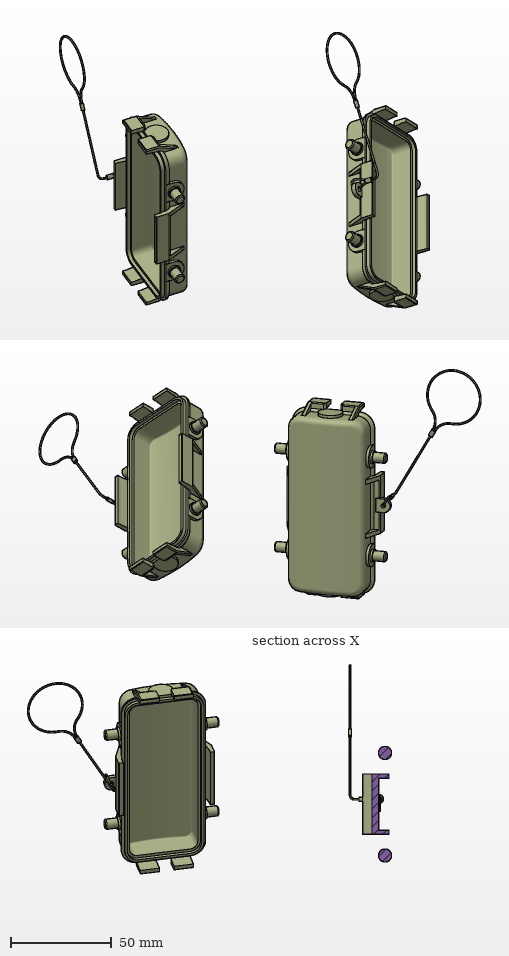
import cadquery as cq
import math


FLANGE_HALF_X = 21.5
FLANGE_HALF_Z = 46.8
FLANGE_CORNER = 8.0
LIP_INSET = 1.45
LEDGE_INSET = 2.7
CAVITY_INSET = 4.1
LIP_HEIGHT = 2.07
LEDGE_DEPTH = 1.9
FLANGE_BACK = 4.75
FLANGE_ROUND = 2.25
CROWN_TOP = 17.3
CROWN_RADIUS = 85.0
CROWN_FILLET = 3.0
FLOOR_THICKNESS = 2.5
FLOOR_FILLET = 0.8
WALL_X = FLANGE_HALF_X - LIP_INSET
WALL_Z = FLANGE_HALF_Z - LIP_INSET
OVERLAP = 1.0

PIN_Y = 6.4
PIN_Z = 25.4
PIN_END = 28.9
PIN_DIAMETER = 5.2
PIN_CHAMFER = 0.6
COLLAR_END = 22.6
COLLAR_DIAMETER = 6.6
PAD_RADIUS = 5.6

TAB_REACH = 4.38
SIDE_TAB_TIP_Y = -4.65
END_TAB_TIP_Y = -4.9
TAB_KINK_Y = 2.3
TAB_BACK_Y = 3.3
TAB_GRIP = [(LIP_INSET, LIP_HEIGHT), (1.7, 0.7), (1.9, -1.0), (2.15, -2.8)]
TAB_EDGE_CHAMFER = 0.3
END_TAB_SIDE_CHAMFER = 0.6
GUSSET_TOP_Y = 12.7
GUSSET_THICKNESS = 2.2
SIDE_TAB_WIDTH = 30.0
END_TAB_INNER = 3.75
END_TAB_OUTER = 13.6

DISC_Y = 7.15
DISC_RADIUS = 6.15

EYE_X = -26.5
EYE_RADIUS = 3.55
EYE_HOLE = 2.1
EYE_ROOT_X = -22.5
EYE_FRONT_Y = 1.8
EYE_BACK_Y = 4.1

LANYARD_TILT = 30.18
CORD_RADIUS = 0.45
CORD_Y = -10.93
CORD_BEND = 2.5
STRAND_GAP = 0.55
SLEEVE_WIDTH = 2.4
SLEEVE_THICKNESS = 1.6
SLEEVE_LENGTH = 3.6
EYE_SLEEVE_U = 2.8
EYE_SLEEVE_Y = -3.0
EYE_LOOP_START_U = 0.75
EYE_LOOP_END_U = 5.2
EYE_LOOP_Y = 3.0
RING_SLEEVE_U = 39.0
RING_U = 63.45
RING_RADIUS = 13.8


def rounded_block(inset, y_front, y_back):
    """Rounded rectangle inset from the flange edge, between two depths."""
    width = 2 * (FLANGE_HALF_X - inset)
    length = 2 * (FLANGE_HALF_Z - inset)
    block = cq.Workplane("XY").box(width, y_back - y_front, length)
    block = block.edges("|Y").fillet(FLANGE_CORNER - inset)
    return block.translate((0, (y_front + y_back) / 2, 0))


def crowned_block(inset, radius, y_top, fillet):
    """Rounded block from y = 0 whose back is a cylindrical crown with a filleted edge."""
    crown = cq.Workplane("XY").center(0, y_top - radius).circle(radius)
    crown = crown.extrude(FLANGE_HALF_Z, both=True)
    block = rounded_block(inset, 0, y_top).intersect(crown)
    return block.faces(">Y").edges().fillet(fillet)


def cover_shell():
    body = crowned_block(LIP_INSET, CROWN_RADIUS, CROWN_TOP, CROWN_FILLET)
    flange = rounded_block(0, LIP_HEIGHT, FLANGE_BACK)
    flange = flange.faces(">Y").edges().fillet(FLANGE_ROUND)
    return body.union(flange)


def cavity():
    pocket = crowned_block(
        CAVITY_INSET, CROWN_RADIUS - FLOOR_THICKNESS, CROWN_TOP - FLOOR_THICKNESS, FLOOR_FILLET
    )
    return pocket.union(rounded_block(LEDGE_INSET, 0, LEDGE_DEPTH))


def pin_and_pad(side, z):
    """Stepped pivot pin on a round-backed pad; side is +1 or -1 along X."""
    base = cq.Workplane("YZ").workplane(offset=WALL_X - OVERLAP)
    pad_length = FLANGE_HALF_X - WALL_X + OVERLAP
    pad = base.center(PIN_Y, 0).circle(PAD_RADIUS).extrude(pad_length)
    foot = base.center((LIP_HEIGHT + PIN_Y) / 2, 0)
    foot = foot.rect(PIN_Y - LIP_HEIGHT, 2 * PAD_RADIUS).extrude(pad_length)
    in_front = cq.Workplane("XY").box(4 * PIN_END, 2 * LIP_HEIGHT, 4 * PAD_RADIUS)
    collar = base.center(PIN_Y, 0).circle(COLLAR_DIAMETER / 2).extrude(COLLAR_END - WALL_X + OVERLAP)
    pin = base.center(PIN_Y, 0).circle(PIN_DIAMETER / 2).extrude(PIN_END - WALL_X + OVERLAP)
    pin = pin.faces(">X").chamfer(PIN_CHAMFER)
    joined = pad.union(foot).cut(in_front).union(collar).union(pin)
    if side < 0:
        joined = joined.mirror("YZ")
    return joined.translate((0, 0, z))


def latch_tab(z_low, z_high, tip_y, gussets):
    """Tab reaching along +X from a wall at x = 0; gussets lists the low z of each gusset."""
    slope = TAB_REACH / (GUSSET_TOP_Y - TAB_KINK_Y)
    back_reach = slope * (GUSSET_TOP_Y - TAB_BACK_Y)
    outline = [(-OVERLAP, LIP_HEIGHT)] + TAB_GRIP
    outline += [(TAB_GRIP[-1][0], tip_y), (TAB_REACH, tip_y), (TAB_REACH, TAB_KINK_Y)]
    outline += [(back_reach, TAB_BACK_Y), (-OVERLAP, TAB_BACK_Y)]
    tab = cq.Workplane("XY").polyline(outline).close().extrude(z_high - z_low)
    tab = tab.translate((0, 0, z_low))
    tab = tab.faces("<Y").edges(">X").chamfer(TAB_EDGE_CHAMFER)
    rib_outline = [(-OVERLAP, LIP_HEIGHT), (0, LIP_HEIGHT), (TAB_REACH, TAB_KINK_Y)]
    rib_outline += [(0, GUSSET_TOP_Y), (-OVERLAP, GUSSET_TOP_Y)]
    rib = cq.Workplane("XY").polyline(rib_outline).close().extrude(GUSSET_THICKNESS)
    for z in gussets:
        tab = tab.union(rib.translate((0, 0, z)))
    return tab


def side_tabs():
    half = SIDE_TAB_WIDTH / 2
    tab = latch_tab(-half, half, SIDE_TAB_TIP_Y, [-half, half - GUSSET_THICKNESS])
    tab = tab.translate((WALL_X, 0, 0))
    return tab.union(tab.mirror("YZ"))


def side_chamfer():
    """Wedge that bevels the outer long edge of an end tab, swept along its sloped and flat faces."""
    size = END_TAB_SIDE_CHAMFER
    corner = cq.Workplane("XZ", origin=(TAB_REACH, END_TAB_TIP_Y - size, END_TAB_OUTER))
    wedge = corner.polyline([(-size, 0), (0, -size), (size, 0), (0, size)]).close()
    spine = cq.Workplane("XY", origin=(0, 0, END_TAB_OUTER)).polyline(
        [(TAB_REACH, END_TAB_TIP_Y - size), (TAB_REACH, TAB_KINK_Y), (0, GUSSET_TOP_Y)]
    )
    return wedge.sweep(spine, transition="right")


def end_tabs():
    """Two tabs and a round pad on each end wall."""
    tab = latch_tab(END_TAB_INNER, END_TAB_OUTER, END_TAB_TIP_Y, [END_TAB_OUTER - GUSSET_THICKNESS])
    tab = tab.cut(side_chamfer())
    pair = tab.union(tab.mirror("XY"))
    pair = pair.rotate((0, 0, 0), (0, 1, 0), -90).translate((0, 0, WALL_Z))
    flare = TAB_BACK_Y - LIP_HEIGHT
    relief = [(-END_TAB_INNER, LIP_HEIGHT), (END_TAB_INNER, LIP_HEIGHT)]
    relief += [(END_TAB_INNER + flare, TAB_BACK_Y), (-END_TAB_INNER - flare, TAB_BACK_Y)]
    pair = pair.cut(cq.Workplane("XY").polyline(relief).close().extrude(2 * WALL_Z))
    disc = cq.Workplane("XY").center(0, DISC_Y).circle(DISC_RADIUS).extrude(LIP_INSET + OVERLAP)
    in_front = cq.Workplane("XY").box(4 * DISC_RADIUS, 2 * LIP_HEIGHT, 4 * DISC_RADIUS)
    disc = disc.cut(in_front)
    pair = pair.union(disc.translate((0, 0, WALL_Z - OVERLAP)))
    return pair.union(pair.mirror("XY"))


def lanyard_eye():
    thickness = EYE_BACK_Y - EYE_FRONT_Y
    length = EYE_ROOT_X - EYE_X
    plate = cq.Workplane("XZ").center(EYE_X, 0).circle(EYE_RADIUS).extrude(-thickness)
    arm = cq.Workplane("XZ").center(EYE_X + length / 2, 0).rect(length, 2 * EYE_RADIUS).extrude(-thickness)
    hole = cq.Workplane("XZ").center(EYE_X, 0).circle(EYE_HOLE / 2).extrude(-thickness)
    return plate.union(arm).cut(hole).translate((0, EYE_FRONT_Y, 0))


def along(u, y, v=0.0):
    """Point at u along the lanyard, v across it and depth y."""
    tilt = math.radians(LANYARD_TILT)
    x = EYE_X - u * math.sin(tilt) + v * math.cos(tilt)
    z = u * math.cos(tilt) + v * math.sin(tilt)
    return cq.Vector(x, y, z)


def cord(edges):
    """Round cord swept along joined edges."""
    path = cq.Wire.assembleEdges(edges)
    start = cq.Plane(origin=path.startPoint(), normal=path.tangentAt(0))
    return cq.Workplane(start).circle(CORD_RADIUS).sweep(cq.Workplane(path), transition="round")


def sleeve(start, direction, wide):
    """Flattened crimp sleeve."""
    plane = cq.Plane(origin=start, xDir=wide, normal=direction)
    return cq.Workplane(plane).slot2D(SLEEVE_WIDTH, SLEEVE_THICKNESS).extrude(SLEEVE_LENGTH)


def eye_loop():
    """Cord through the eye hole and around its edge, both ends crimped in the lower sleeve."""
    crimp_y = EYE_SLEEVE_Y - SLEEVE_LENGTH / 2
    middle = (EYE_LOOP_START_U + EYE_LOOP_END_U) / 2
    arc_top = EYE_LOOP_Y + (EYE_LOOP_END_U - EYE_LOOP_START_U) / 2
    inner = along(EYE_LOOP_START_U, EYE_LOOP_Y)
    outer = along(EYE_LOOP_END_U, EYE_LOOP_Y)
    toward_sleeve = cq.Vector(0, -1, 0)
    away = cq.Vector(0, 1, 0)
    edges = [
        cq.Edge.makeSpline([along(EYE_SLEEVE_U - STRAND_GAP, crimp_y), inner], [away, away]),
        cq.Edge.makeThreePointArc(inner, along(middle, arc_top), outer),
        cq.Edge.makeSpline(
            [outer, along(EYE_SLEEVE_U + STRAND_GAP, crimp_y)], [toward_sleeve, toward_sleeve]
        ),
    ]
    crimp = sleeve(along(EYE_SLEEVE_U, EYE_SLEEVE_Y), (0, -1, 0), along(1, 0) - along(0, 0))
    return cord(edges).union(crimp)


def lead():
    """Cord from the lower sleeve, around a bend and straight to the upper sleeve."""
    bend_start = along(EYE_SLEEVE_U, CORD_Y + CORD_BEND)
    bend_end = along(EYE_SLEEVE_U + CORD_BEND, CORD_Y)
    sag = CORD_BEND * (1 - math.sqrt(0.5))
    bend_middle = along(EYE_SLEEVE_U + sag, CORD_Y + sag)
    edges = [
        cq.Edge.makeLine(along(EYE_SLEEVE_U, EYE_SLEEVE_Y - SLEEVE_LENGTH / 2), bend_start),
        cq.Edge.makeThreePointArc(bend_start, bend_middle, bend_end),
        cq.Edge.makeLine(bend_end, along(RING_SLEEVE_U + SLEEVE_LENGTH / 2, CORD_Y)),
    ]
    return cord(edges)


def ring():
    """Large cord ring whose two ends curve smoothly into the upper sleeve."""
    throat_u = RING_SLEEVE_U + SLEEVE_LENGTH
    reach = RING_U - throat_u
    throat_radius = (reach ** 2 + STRAND_GAP ** 2 - RING_RADIUS ** 2) / (2 * (RING_RADIUS - STRAND_GAP))
    throat_v = STRAND_GAP + throat_radius
    angle = math.atan2(throat_v, reach)
    join_u = RING_U - RING_RADIUS * math.cos(angle)
    join_v = RING_RADIUS * math.sin(angle)
    half_turn = (math.pi / 2 - angle) / 2
    mid_u = throat_u + throat_radius * math.sin(half_turn)
    mid_v = throat_v - throat_radius * math.cos(half_turn)

    def at(u, v):
        return along(u, CORD_Y, v)

    edges = [
        cq.Edge.makeLine(at(throat_u - SLEEVE_LENGTH / 2, STRAND_GAP), at(throat_u, STRAND_GAP)),
        cq.Edge.makeThreePointArc(at(throat_u, STRAND_GAP), at(mid_u, mid_v), at(join_u, join_v)),
        cq.Edge.makeThreePointArc(at(join_u, join_v), at(RING_U + RING_RADIUS, 0), at(join_u, -join_v)),
        cq.Edge.makeThreePointArc(at(join_u, -join_v), at(mid_u, -mid_v), at(throat_u, -STRAND_GAP)),
        cq.Edge.makeLine(at(throat_u, -STRAND_GAP), at(throat_u - SLEEVE_LENGTH / 2, -STRAND_GAP)),
    ]
    direction = along(1, 0) - along(0, 0)
    across = along(0, 0, 1) - along(0, 0)
    return cord(edges).union(sleeve(at(RING_SLEEVE_U, 0), direction, across))


cover = cover_shell()
for pin_side in (1, -1):
    for pin_z in (-PIN_Z, PIN_Z):
        cover = cover.union(pin_and_pad(pin_side, pin_z))
cover = cover.union(side_tabs()).union(end_tabs())
cover = cover.cut(cavity()).union(lanyard_eye())
result = cover.union(eye_loop()).union(lead()).union(ring())